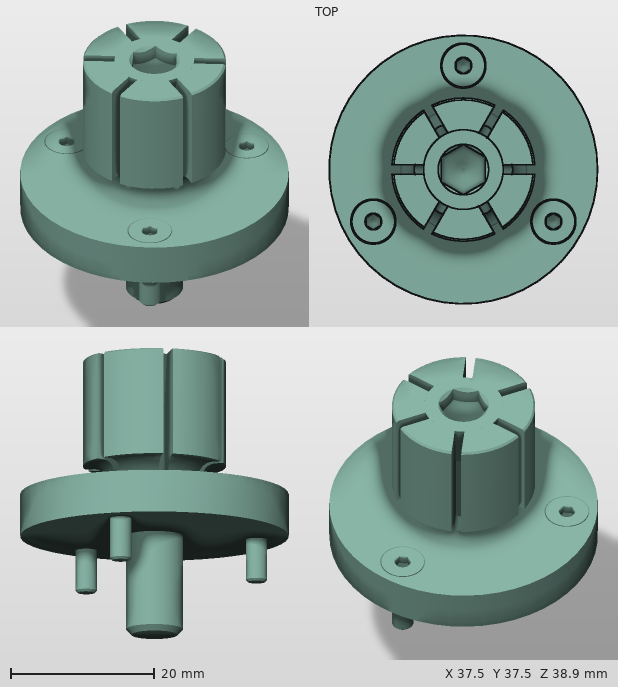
import cadquery as cq
import math


flange_diameter = 37.5
flange_thickness = 5.9
neck_height = 4.0
neck_radius = 6.75
collet_diameter = 20.0
collet_height = 14.98
collet_edge_chamfer = 0.27
slot_count = 6
slot_width = 1.35

bolt_shank_radius = 4.0
bolt_head_radius = 5.55
bolt_head_height = 7.1
bolt_reach = 14.0
bolt_tip_chamfer = 0.78
bolt_hex_width = 6.1
bolt_hex_depth = 2.05

screw_count = 3
screw_circle_radius = 14.5
screw_first_angle = 90
screw_shank_radius = 1.498
screw_seat_radius = 3.15
screw_head_radius = 3.0
screw_reach = 6.0
screw_tip_chamfer = 0.3
screw_hex_width = 2.02
screw_hex_depth = 1.15

socket_turn = 30
socket_floor_angle = 30

neck_groove_radius = neck_height / 2
neck_middle = flange_thickness + neck_groove_radius
collet_bottom = flange_thickness + neck_height
collet_top = collet_bottom + collet_height
collet_radius = collet_diameter / 2
flange_radius = flange_diameter / 2
screw_seat_bottom = flange_thickness - (screw_seat_radius - screw_shank_radius)


def revolve_about_z(profile):
    """Turn a closed (radius, z) profile through a full revolution."""
    return profile.close().revolve(360, (0, 0, 0), (0, 1, 0))


def hex_socket(width, depth, top):
    """Hexagonal recess with a 45 degree conical lead-in and a conical floor."""
    corner_radius = width / math.sqrt(3)
    floor_drop = corner_radius * math.tan(math.radians(socket_floor_angle))
    hexagon = (
        cq.Workplane("XY")
        .workplane(offset=top)
        .polygon(6, 2 * corner_radius)
        .extrude(-depth - floor_drop)
        .rotate((0, 0, 0), (0, 0, 1), socket_turn)
    )
    floor_limit = revolve_about_z(
        cq.Workplane("XZ")
        .moveTo(0, top)
        .lineTo(corner_radius, top)
        .lineTo(corner_radius, top - depth)
        .lineTo(0, top - depth - floor_drop)
    )
    lead_in = revolve_about_z(
        cq.Workplane("XZ")
        .moveTo(0, top)
        .lineTo(corner_radius, top)
        .lineTo(0, top - corner_radius)
    )
    return hexagon.intersect(floor_limit).union(lead_in)


def headed_shank(head_radius, head_top, shank_radius, shank_top, tip, chamfer):
    """Taper-headed shank with a chamfered tip."""
    return revolve_about_z(
        cq.Workplane("XZ")
        .moveTo(0, head_top)
        .lineTo(head_radius, head_top)
        .lineTo(shank_radius, shank_top)
        .lineTo(shank_radius, tip + chamfer)
        .lineTo(shank_radius - chamfer, tip)
        .lineTo(0, tip)
    )


def taper_hole(mouth_radius, mouth_top, bore_radius, taper_bottom):
    """Tapered seat leading into a bore that ends at the flange underside."""
    return revolve_about_z(
        cq.Workplane("XZ")
        .lineTo(bore_radius, 0)
        .lineTo(bore_radius, taper_bottom)
        .lineTo(mouth_radius, mouth_top)
        .lineTo(0, mouth_top)
    )


def at_screw_places(body):
    """Copies of a body moved from the axis onto the screw circle."""
    copies = []
    for index in range(screw_count):
        angle = math.radians(screw_first_angle + index * 360 / screw_count)
        x = screw_circle_radius * math.cos(angle)
        y = screw_circle_radius * math.sin(angle)
        copies.append(body.translate((x, y, 0)))
    return copies


def collet_slot(angle):
    """Radial slot, open at the top, with a round bottom at mid-neck."""
    straight = cq.Workplane("XY").box(
        collet_diameter, slot_width, collet_top - neck_middle, centered=(False, True, False)
    )
    round_bottom = cq.Workplane("YZ").circle(slot_width / 2).extrude(collet_diameter)
    slot = straight.union(round_bottom).translate((0, 0, neck_middle))
    return slot.rotate((0, 0, 0), (0, 0, 1), angle)


def make_mandrel():
    """Flange, grooved neck and slotted collet in one piece."""
    groove_edge_radius = neck_radius + neck_groove_radius
    mandrel = revolve_about_z(
        cq.Workplane("XZ")
        .lineTo(flange_radius, 0)
        .lineTo(flange_radius, flange_thickness)
        .lineTo(groove_edge_radius, flange_thickness)
        .threePointArc((neck_radius, neck_middle), (groove_edge_radius, collet_bottom))
        .lineTo(collet_radius, collet_bottom)
        .lineTo(collet_radius, collet_top - collet_edge_chamfer)
        .lineTo(collet_radius - collet_edge_chamfer, collet_top)
        .lineTo(0, collet_top)
    )
    for index in range(slot_count):
        mandrel = mandrel.cut(collet_slot(index * 360 / slot_count))
    bolt_seat_bottom = collet_top - bolt_head_height
    mandrel = mandrel.cut(taper_hole(bolt_head_radius, collet_top, bolt_shank_radius, bolt_seat_bottom))
    screw_hole = taper_hole(screw_seat_radius, flange_thickness, screw_shank_radius, screw_seat_bottom)
    for hole in at_screw_places(screw_hole):
        mandrel = mandrel.cut(hole)
    return mandrel


def make_bolt():
    """Central bolt whose tapered head sits flush with the collet top."""
    bolt = headed_shank(
        bolt_head_radius,
        collet_top,
        bolt_shank_radius,
        collet_top - bolt_head_height,
        -bolt_reach,
        bolt_tip_chamfer,
    )
    return bolt.cut(hex_socket(bolt_hex_width, bolt_hex_depth, collet_top))


def make_screws():
    """Countersunk screws flush with the flange, heads trimmed to a short straight rim."""
    screw = headed_shank(
        screw_seat_radius,
        flange_thickness,
        screw_shank_radius,
        screw_seat_bottom,
        -screw_reach,
        screw_tip_chamfer,
    )
    head_limit = (
        cq.Workplane("XY")
        .workplane(offset=-screw_reach)
        .circle(screw_head_radius)
        .extrude(screw_reach + flange_thickness)
    )
    screw = screw.intersect(head_limit)
    screw = screw.cut(hex_socket(screw_hex_width, screw_hex_depth, flange_thickness))
    return at_screw_places(screw)


mandrel = make_mandrel()
bolt = make_bolt()
screws = make_screws()

result = cq.Compound.makeCompound([mandrel.val(), bolt.val(), *[screw.val() for screw in screws]])